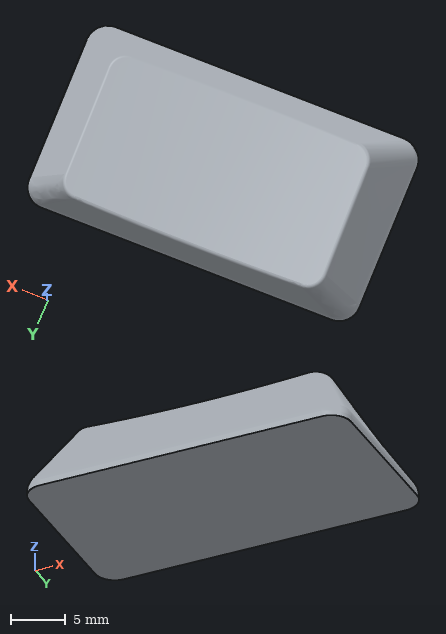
import cadquery as cq
import math

LENGTH = 32.45
WIDTH = 18.16
SKIRT_HEIGHT = 1.0

RIM_HALF_LENGTH = 12.76
RIM_HEIGHT_AT_CENTER = 7.055
RIM_TILT = 6.8
FRONT_LEAN = 28.8
BACK_LEAN = 5.75
WALL_OVERSHOOT = 1.15

DISH_RADIUS = 123.0
CUT_MARGIN = 5.0

CORNER_RADIUS = 2.0
RIM_CORNER_RADIUS = 1.75
SHOULDER_RADIUS = 1.5
SHOULDER_ZONE_REACH = 0.1
RIM_RADIUS = 0.35

half_length = LENGTH / 2
half_width = WIDTH / 2
tilt = math.radians(RIM_TILT)


def rim_point(lean, side):
    """Y and Z where the front (side -1) or back (side 1) wall meets the rim plane."""
    lean_slope = math.tan(math.radians(lean))
    tilt_slope = math.tan(tilt)
    rim_height_over_foot = RIM_HEIGHT_AT_CENTER - tilt_slope * side * half_width
    rise = (rim_height_over_foot - SKIRT_HEIGHT) / (1 - tilt_slope * side * lean_slope)
    return side * (half_width - rise * lean_slope), SKIRT_HEIGHT + rise


def past_rim(foot, rim):
    """Coordinate on the line from foot to rim, slightly past the rim."""
    return foot + WALL_OVERSHOOT * (rim - foot)


def rounded_outline(half_span, front, back, radius):
    """Rectangle with rounded corners, from the Y and Z of its front and back edges."""
    front_y, front_z = front
    back_y, back_z = back
    depth = math.hypot(back_y - front_y, back_z - front_z)
    slope = math.atan2(back_z - front_z, back_y - front_y)
    plane = cq.Plane(
        origin=(0, (front_y + back_y) / 2, (front_z + back_z) / 2),
        xDir=(1, 0, 0),
        normal=(0, -math.sin(slope), math.cos(slope)),
    )
    outline = cq.Sketch().rect(2 * half_span, depth).vertices().fillet(radius)
    return outline.moved(cq.Location(plane))


def tapered_walls():
    """Ruled walls from the flat footprint up to the tilted, narrower rim."""
    front_foot = (-half_width, SKIRT_HEIGHT)
    back_foot = (half_width, SKIRT_HEIGHT)
    front_end = tuple(map(past_rim, front_foot, rim_point(FRONT_LEAN, -1)))
    back_end = tuple(map(past_rim, back_foot, rim_point(BACK_LEAN, 1)))
    end_half_length = past_rim(half_length, RIM_HALF_LENGTH)

    foot = rounded_outline(half_length, front_foot, back_foot, CORNER_RADIUS)
    end = rounded_outline(end_half_length, front_end, back_end, RIM_CORNER_RADIUS)
    return cq.Workplane("XY").placeSketch(foot, end).loft(ruled=True)


def skirt():
    """Straight-sided band around the foot of the walls."""
    block = cq.Workplane("XY").rect(LENGTH, WIDTH).extrude(SKIRT_HEIGHT)
    return block.edges("|Z").fillet(CORNER_RADIUS)


def rounded_blank():
    """Skirt and walls, with the edge between them rounded into a soft shoulder."""
    shoulder_zone = cq.selectors.BoxSelector(
        (-LENGTH, -WIDTH, SKIRT_HEIGHT - SHOULDER_ZONE_REACH),
        (LENGTH, WIDTH, SKIRT_HEIGHT + SHOULDER_ZONE_REACH),
    )
    return skirt().union(tapered_walls()).edges(shoulder_zone).fillet(SHOULDER_RADIUS)


def dish_cutter():
    """Wide shallow cylinder, tilted with the rim, that crosses the wall tops at the rim."""
    sag = DISH_RADIUS - math.sqrt(DISH_RADIUS**2 - RIM_HALF_LENGTH**2)
    end_plane = cq.Plane(
        origin=(0, 0, RIM_HEIGHT_AT_CENTER),
        xDir=(1, 0, 0),
        normal=(0, -math.cos(tilt), math.sin(tilt)),
    )
    return (
        cq.Workplane(end_plane)
        .center(0, DISH_RADIUS - sag)
        .circle(DISH_RADIUS)
        .extrude(half_width + CUT_MARGIN, both=True)
    )


dished = rounded_blank().cut(dish_cutter())
result = dished.faces(">Z").edges().fillet(RIM_RADIUS)